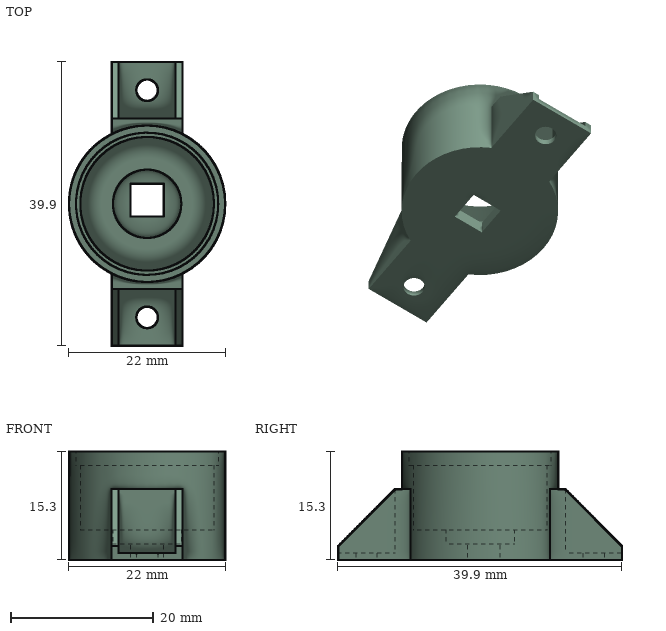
import cadquery as cq

outer_diameter = 22.0
bore_diameter = 18.8
lip_diameter = 20.0
cup_height = 15.3
lip_depth = 2.0
floor_thickness = 4.25

recess_diameter = 9.6
recess_depth = 2.0
square_width = 4.65
square_length = 4.6
square_offset_y = 0.5

overall_length = 39.9
lug_width = 9.98
lug_height = 9.98
lug_tip_height = 1.95
lug_plate = 1.0
pocket_length = 7.98
screw_diameter = 3.0
screw_offset = 15.95

lug_end = overall_length / 2
pocket_start = lug_end - pocket_length


def cylinder(diameter, bottom, top):
    """Vertical cylinder on the cup axis between two heights."""
    return cq.Workplane("XY").workplane(offset=bottom).circle(diameter / 2).extrude(top - bottom)


def make_lug():
    """Gusseted lug on the +Y side, running inward to the cup axis."""
    profile = [
        (0, 0),
        (lug_end, 0),
        (lug_end, lug_tip_height),
        (pocket_start, lug_height),
        (0, lug_height),
    ]
    body = cq.Workplane("YZ").polyline(profile).close().extrude(lug_width / 2, both=True)
    pocket = cq.Workplane("XY").box(
        lug_width - 2 * lug_plate, pocket_length, lug_height, centered=(True, False, False)
    ).translate((0, pocket_start, lug_plate))
    screw_hole = cylinder(screw_diameter, 0, lug_height).translate((0, screw_offset, 0))
    return body.cut(pocket).cut(screw_hole)


lug = make_lug()
body = cylinder(outer_diameter, 0, cup_height)
for angle in (0, 180):
    body = body.union(lug.rotate((0, 0, 0), (0, 0, 1), angle))

body = body.cut(cylinder(bore_diameter, floor_thickness, cup_height))
body = body.cut(cylinder(lip_diameter, cup_height - lip_depth, cup_height))
body = body.cut(cylinder(recess_diameter, floor_thickness - recess_depth, floor_thickness))
square_opening = cq.Workplane("XY").center(0, square_offset_y).rect(square_width, square_length)
result = body.cut(square_opening.extrude(floor_thickness))